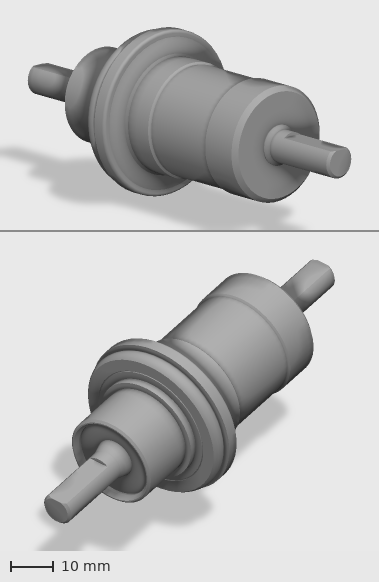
import cadquery as cq

length = 105.0
shaft_radius = 4.0
tip_chamfer = 0.6
flat_length = 16.8
flat_height = 3.0

hub_start = 21.2
hub_radius = 11.5
hub_chamfer = 0.5
recess_radius = 10.7
recess_wall_radius = 10.0
recess_depth = 2.0
recess_chamfer_depth = 1.2
shaft_cone_start = 20.0
shaft_cone_radius = 4.9
shaft_shoulder = 0.2

collar_start = 35.4
collar_radius = 13.1
ring_start = 37.3
ring_edge_radius = 18.4
ring_crown_radius = 19.2
flange_start = 41.3
flange_diameter = 40.0
flange_radius = flange_diameter / 2
flange_round_start = 43.9
flange_round = 0.7
flange_cone_radius = 18.4
flange_cone_end = 45.9
flange_cone_end_radius = 14.6
band_start = 46.5

band_radius = 14.1
waist_radius = 13.5
band_end = 53.4
step_length = band_radius - waist_radius
rear_band_start = 73.3
body_end = 83.6
rear_chamfer = 1.2

groove_inner_radius = 15.0
groove_width = 0.3
groove_depth = 0.3


def turned_body():
    """Revolve the half profile, given as (position along X, radius)."""
    recess_floor = hub_start + recess_depth
    flange_cone_start = flange_round_start + flange_round
    rear_cone_start = body_end + shaft_shoulder
    rear_cone_length = shaft_cone_radius - shaft_radius
    tip_radius = shaft_radius - tip_chamfer
    profile = (
        cq.Workplane("XY")
        .moveTo(0, 0)
        .lineTo(0, tip_radius)
        .lineTo(tip_chamfer, shaft_radius)
        .lineTo(shaft_cone_start, shaft_radius)
        .lineTo(recess_floor - shaft_shoulder, shaft_cone_radius)
        .lineTo(recess_floor, shaft_cone_radius)
        .lineTo(recess_floor, recess_wall_radius)
        .lineTo(hub_start + recess_chamfer_depth, recess_wall_radius)
        .lineTo(hub_start, recess_radius)
        .lineTo(hub_start, hub_radius - hub_chamfer)
        .lineTo(hub_start + hub_chamfer, hub_radius)
        .lineTo(collar_start, hub_radius)
        .lineTo(collar_start, collar_radius)
        .lineTo(ring_start, collar_radius)
        .lineTo(ring_start, ring_edge_radius)
        .threePointArc(
            ((ring_start + flange_start) / 2, ring_crown_radius),
            (flange_start, ring_edge_radius),
        )
        .lineTo(flange_start, flange_radius)
        .lineTo(flange_round_start, flange_radius)
        .radiusArc((flange_cone_start, flange_radius - flange_round), flange_round)
        .lineTo(flange_cone_start, flange_cone_radius)
        .lineTo(flange_cone_end, flange_cone_end_radius)
        .lineTo(band_start, band_radius)
        .lineTo(band_end, band_radius)
        .lineTo(band_end + step_length, waist_radius)
        .lineTo(rear_band_start - step_length, waist_radius)
        .lineTo(rear_band_start, band_radius)
        .lineTo(body_end - rear_chamfer, band_radius)
        .lineTo(body_end, band_radius - rear_chamfer)
        .lineTo(body_end, shaft_cone_radius)
        .lineTo(rear_cone_start, shaft_cone_radius)
        .lineTo(rear_cone_start + rear_cone_length, shaft_radius)
        .lineTo(length - tip_chamfer, shaft_radius)
        .lineTo(length, tip_radius)
        .lineTo(length, 0)
        .close()
    )
    return profile.revolve(360, (0, 0, 0), (1, 0, 0))


def face_groove():
    return (
        cq.Workplane("YZ", origin=(ring_start, 0, 0))
        .circle(groove_inner_radius + groove_width)
        .circle(groove_inner_radius)
        .extrude(groove_depth)
    )


def shaft_flat(start):
    """Material above the flat on the shaft, beginning at the given X."""
    return cq.Workplane("XY", origin=(start, 0, flat_height)).box(
        flat_length, 2 * shaft_radius, shaft_radius, centered=(False, True, False)
    )


result = turned_body().cut(face_groove())
for flat_start in (0, length - flat_length):
    result = result.cut(shaft_flat(flat_start))